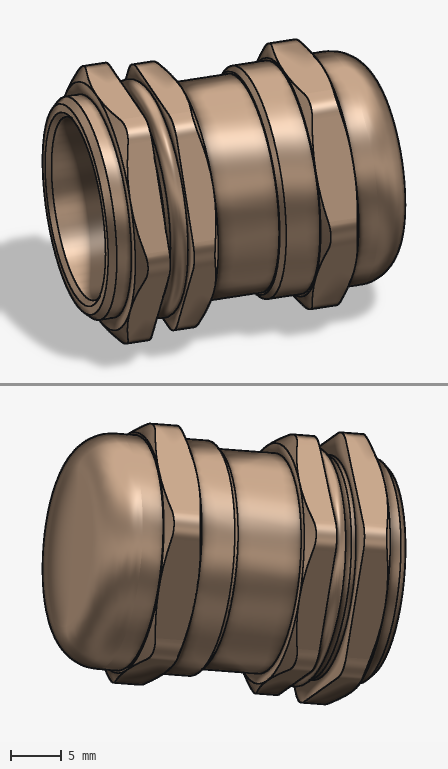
import cadquery as cq
import math

length = 31.75

cap_diameter = 23.5
cap_dome_radius = 3.9
cap_bottom = 17.72
cap_chamfer = 0.5

body_diameter = 22.0
thread_diameter = 22.5
thread_tip_diameter = 21.2
thread_tip_height = 0.7
thread_top = 6.5
thread_top_chamfer = 0.65

bore_diameter = 18.5
bore_mouth_diameter = 19.5
bore_depth = 5.8

ring_diameter = 24.05
body_hex_bottom = 8.1
ring_thickness = body_hex_bottom - thread_top

gland_corner_radius = 3.08
locknut_corner_radius = 2.95
gland_flats = 24.0
locknut_flats = 25.0
cap_hex_bottom = 21.75
cap_hex_top = 25.73
body_hex_top = 11.05
locknut_bottom = 2.22
locknut_top = 5.4
hex_bevel_angle = 30.0
cap_hex_bevel_angle = 24.0


def cylinder(diameter, bottom, top):
    """Cylinder on the Y axis between two Y positions."""
    return cq.Workplane("XZ", origin=(0, bottom, 0)).circle(diameter / 2).extrude(bottom - top)


def hexagon(flats, corner_radius, bottom, top, angle, bevel_bottom, bevel_top):
    """Round-cornered hexagon with flats facing Z and conical bevels on the chosen faces."""
    corner_diameter = flats / math.cos(math.radians(30))
    prism = (
        cq.Workplane("XZ", origin=(0, bottom, 0))
        .polygon(6, corner_diameter)
        .extrude(bottom - top)
        .edges("|Y")
        .fillet(corner_radius)
    )
    run = (corner_diameter - flats) / 2
    drop = run * math.tan(math.radians(angle))
    envelope = cylinder(corner_diameter, bottom, top)
    if bevel_bottom:
        envelope = envelope.faces("<Y").chamfer(drop, run)
    if bevel_top:
        envelope = envelope.faces(">Y").chamfer(drop, run)
    return prism.intersect(envelope)


def make_cap():
    cap = cylinder(cap_diameter, cap_bottom, length)
    return cap.faces(">Y").edges().fillet(cap_dome_radius).faces("<Y").edges().chamfer(cap_chamfer)


def make_thread():
    tip_radius = thread_tip_diameter / 2
    radius = thread_diameter / 2
    return (
        cq.Workplane("XY")
        .lineTo(tip_radius, 0)
        .lineTo(radius, thread_tip_height)
        .lineTo(radius, thread_top - thread_top_chamfer)
        .lineTo(radius - thread_top_chamfer, thread_top)
        .lineTo(0, thread_top)
        .close()
        .revolve(360, (0, 0, 0), (0, 1, 0))
    )


def make_sealing_ring():
    """Solid disc whose rim is a half circle."""
    straight_radius = (ring_diameter - ring_thickness) / 2
    return (
        cq.Workplane("XY")
        .moveTo(0, thread_top)
        .lineTo(straight_radius, thread_top)
        .threePointArc(
            (ring_diameter / 2, thread_top + ring_thickness / 2),
            (straight_radius, body_hex_bottom),
        )
        .lineTo(0, body_hex_bottom)
        .close()
        .revolve(360, (0, 0, 0), (0, 1, 0))
    )


def make_bore():
    mouth_chamfer = (bore_mouth_diameter - bore_diameter) / 2
    return (
        cq.Workplane("XY")
        .lineTo(bore_mouth_diameter / 2, 0)
        .lineTo(bore_diameter / 2, mouth_chamfer)
        .lineTo(bore_diameter / 2, bore_depth)
        .lineTo(0, bore_depth)
        .close()
        .revolve(360, (0, 0, 0), (0, 1, 0))
    )


cap_hex = hexagon(
    gland_flats, gland_corner_radius, cap_hex_bottom, cap_hex_top, cap_hex_bevel_angle,
    bevel_bottom=True, bevel_top=True,
)
body_hex = hexagon(
    gland_flats, gland_corner_radius, body_hex_bottom, body_hex_top, hex_bevel_angle,
    bevel_bottom=False, bevel_top=True,
)
locknut = hexagon(
    locknut_flats, locknut_corner_radius, locknut_bottom, locknut_top, hex_bevel_angle,
    bevel_bottom=True, bevel_top=False,
)

result = (
    cylinder(body_diameter, body_hex_bottom, cap_bottom)
    .union(make_cap())
    .union(cap_hex)
    .union(body_hex)
    .union(make_sealing_ring())
    .union(make_thread())
    .union(locknut)
    .cut(make_bore())
)